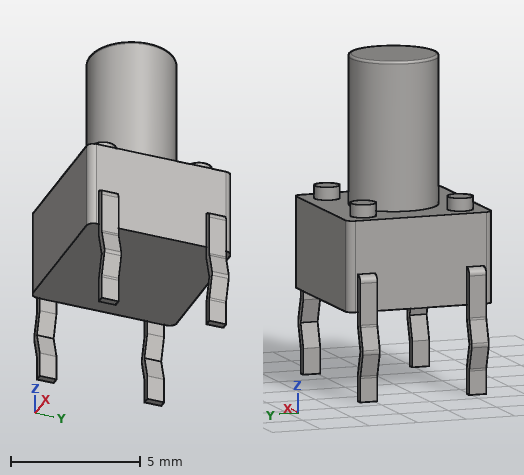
import cadquery as cq
import math

total_height = 13.0

housing_side = 6.0
corner_radius = 0.3
block_height = 3.5
cover_thickness = 0.1
housing_height = block_height + cover_thickness

rivet_diameter = 1.0
rivet_height = 0.51
rivet_spacing = 4.0

button_diameter = 3.5
button_edge = 0.1

leg_thickness = 0.3
leg_width = 0.7
leg_spacing = 4.5
leg_top = 1.5
leg_drop = 3.5
bend_radius = 0.3

kink_start = 0.5
kink_half_height = 1.0
kink_depth = 0.3

button_top = total_height - leg_drop


def make_housing():
    return (
        cq.Workplane("XY")
        .rect(housing_side, housing_side)
        .extrude(housing_height)
        .edges("|Z")
        .fillet(corner_radius)
    )


def make_rivets():
    return (
        cq.Workplane("XY", origin=(0, 0, housing_height))
        .rect(rivet_spacing, rivet_spacing, forConstruction=True)
        .vertices()
        .circle(rivet_diameter / 2)
        .extrude(rivet_height)
    )


def make_button():
    return (
        cq.Workplane("XY", origin=(0, 0, housing_height))
        .circle(button_diameter / 2)
        .extrude(button_top - housing_height)
        .faces(">Z")
        .edges()
        .fillet(button_edge)
    )


def make_leg(y_center):
    """One leg strip on the +X face, centred on y_center."""
    inner_x = housing_side / 2
    outer_x = inner_x + leg_thickness
    upper_z = -kink_start
    peak_z = upper_z - kink_half_height
    lower_z = peak_z - kink_half_height

    slope = math.atan2(kink_depth, kink_half_height)
    inner_shift = leg_thickness * math.tan(slope / 2)
    inner_peak_x = outer_x + kink_depth - leg_thickness / math.cos(slope)

    outer_bends = [
        (outer_x, upper_z),
        (outer_x + kink_depth, peak_z),
        (outer_x, lower_z),
    ]
    tip_and_inner_side = [
        (outer_x, -leg_drop),
        (inner_x, -leg_drop),
        (inner_x, lower_z + inner_shift),
        (inner_peak_x, peak_z),
        (inner_x, upper_z - inner_shift),
    ]
    diagonal = math.sqrt(0.5)
    strip = (
        cq.Workplane("XZ", origin=(0, y_center + leg_width / 2, 0))
        .moveTo(inner_x, leg_top)
        .threePointArc(
            (inner_x + leg_thickness * diagonal, leg_top - leg_thickness * (1 - diagonal)),
            (outer_x, leg_top - leg_thickness),
        )
        .polyline(outer_bends + tip_and_inner_side, includeCurrent=True)
        .close()
        .extrude(leg_width)
    )
    for x, z in outer_bends:
        bend_edge = cq.selectors.NearestToPointSelector((x, y_center, z))
        strip = strip.edges(bend_edge).fillet(bend_radius)
    return strip


result = make_housing().union(make_rivets()).union(make_button())
for y_center in (-leg_spacing / 2, leg_spacing / 2):
    leg = make_leg(y_center)
    result = result.union(leg).union(leg.mirror("YZ"))